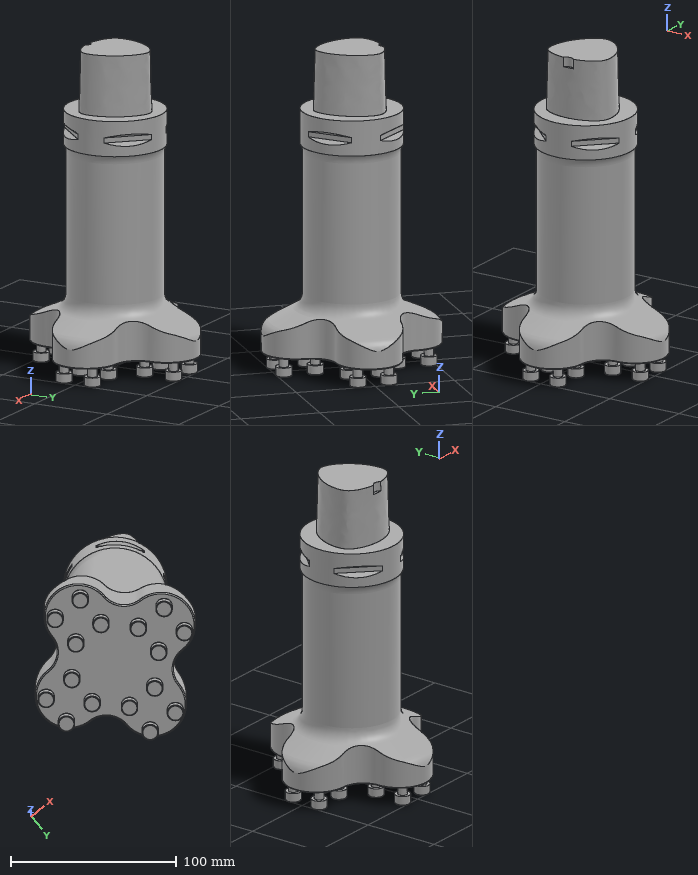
import cadquery as cq
import math

total_height = 200.0
base_z = 12.0
cone_top_z = 37.4
flange_bottom_z = 140.0
flange_top_z = 162.0

column_radius = 30.0
flange_radius = 31.5
blend_radius = 10.0
cone_slope = math.radians(25.0)
cone_outer_radius = 51.0

lobe_count = 4
span = 113.0
lobe_radius = 20.7
lobe_distance = span / 2 - lobe_radius
base_chamfer = 0.8

screw_shank_diameter = 6.0
screw_head_diameter = 10.0
screw_head_height = 6.0
screw_head_chamfer = 0.5
screw_distances = (25.9, 45.9)
screw_offset = 9.8
screw_embed = 1.0

shank_width = 44.3
shank_eccentricity = 1.8
shank_taper = 1 / 20
shank_points = 36

notch_radius = 4.5
notch_height = 6.0
notch_floor_distance = 17.5

slot_count = 4
slot_center_z = 150.0
slot_floor_height = 3.2
slot_depth = 3.7
slot_flank_angle = math.radians(30.0)


def blend_point(center_r, center_z, angle):
    """Point on a blend circle of the turned profile, angle from the outward radius."""
    return (
        center_r + blend_radius * math.cos(angle),
        center_z + blend_radius * math.sin(angle),
    )


def turned_body():
    """Column with flange, foot cone and blends, turned about Z."""
    foot_r = column_radius + blend_radius
    foot_end_angle = 1.5 * math.pi - cone_slope
    foot_z = cone_top_z - blend_radius * math.sin(foot_end_angle)
    foot_end = blend_point(foot_r, foot_z, foot_end_angle)
    foot_mid = blend_point(foot_r, foot_z, (math.pi + foot_end_angle) / 2)

    cone_drop = (cone_outer_radius - foot_end[0]) * math.tan(cone_slope)
    cone_end = (cone_outer_radius, cone_top_z - cone_drop)
    rim_start_angle = math.pi / 2 - cone_slope
    rim_r = cone_end[0] - blend_radius * math.cos(rim_start_angle)
    rim_z = cone_end[1] - blend_radius * math.sin(rim_start_angle)
    rim_mid = blend_point(rim_r, rim_z, rim_start_angle / 2)
    rim_end = blend_point(rim_r, rim_z, 0)

    neck_r = column_radius + blend_radius
    neck_sweep = math.acos((neck_r - flange_radius) / blend_radius)
    neck_z = flange_bottom_z - blend_radius * math.sin(neck_sweep)
    neck_mid = blend_point(neck_r, neck_z, math.pi - neck_sweep / 2)

    profile = (
        cq.Workplane("XZ")
        .moveTo(0, base_z)
        .lineTo(rim_end[0], base_z)
        .lineTo(*rim_end)
        .threePointArc(rim_mid, cone_end)
        .lineTo(*foot_end)
        .threePointArc(foot_mid, (column_radius, foot_z))
        .lineTo(column_radius, neck_z)
        .threePointArc(neck_mid, (flange_radius, flange_bottom_z))
        .lineTo(flange_radius, flange_top_z)
        .lineTo(0, flange_top_z)
        .close()
    )
    return profile.revolve(360, (0, 0, 0), (0, 1, 0))


def rotated(point, angle):
    """Point turned about the origin."""
    x, y = point
    return (
        x * math.cos(angle) - y * math.sin(angle),
        x * math.sin(angle) + y * math.cos(angle),
    )


def clover_prism():
    """Prism of tangent arcs: four lobes and the four valleys between them."""
    valley_radius = lobe_distance - lobe_radius
    valley_mid = lobe_distance - valley_radius / math.sqrt(2)

    outline = cq.Workplane("XY").workplane(offset=base_z).moveTo(lobe_distance, -lobe_radius)
    for i in range(lobe_count):
        angle = 2 * math.pi * i / lobe_count
        lobe_tip = rotated((span / 2, 0), angle)
        lobe_end = rotated((lobe_distance, lobe_radius), angle)
        valley_middle = rotated((valley_mid, valley_mid), angle)
        valley_end = rotated((lobe_radius, lobe_distance), angle)
        outline = outline.threePointArc(lobe_tip, lobe_end).threePointArc(valley_middle, valley_end)
    prism = outline.close().extrude(flange_top_z - base_z)
    return prism.faces("<Z").chamfer(base_chamfer)


def shank_outline(width):
    """Points on a three-lobed curve of constant width with one lobe toward +Y."""
    points = []
    for i in range(shank_points):
        angle = 2 * math.pi * i / shank_points
        lobing = 3 * (angle - math.pi / 2)
        reach = width / 2 + shank_eccentricity * math.cos(lobing)
        slope = -3 * shank_eccentricity * math.sin(lobing)
        points.append(rotated((reach, slope), angle))
    return points


def shank():
    """Tapered shank with its key notch."""
    height = total_height - flange_top_z
    top_width = shank_width - shank_taper * height
    body = (
        cq.Workplane("XY")
        .workplane(offset=flange_top_z)
        .spline(shank_outline(shank_width), periodic=True)
        .wire()
        .workplane(offset=height)
        .spline(shank_outline(top_width), periodic=True)
        .wire()
        .loft(ruled=True)
    )
    notch = (
        cq.Workplane("XY")
        .workplane(offset=total_height - notch_height)
        .center(0, -notch_floor_distance - notch_radius)
        .circle(notch_radius)
        .extrude(notch_height)
    )
    return body.cut(notch)


def gripper_slot():
    """Cutter for one slot, opening toward +X."""
    floor_x = flange_radius - slot_depth
    half_floor = slot_floor_height / 2
    half_mouth = half_floor + slot_depth * math.tan(slot_flank_angle)
    return (
        cq.Workplane("XZ")
        .polyline([
            (floor_x, slot_center_z - half_floor),
            (flange_radius, slot_center_z - half_mouth),
            (flange_radius, slot_center_z + half_mouth),
            (floor_x, slot_center_z + half_floor),
        ])
        .close()
        .extrude(flange_radius, both=True)
    )


def screw(x, y):
    """Cap screw hanging under the base, head down."""
    head = (
        cq.Workplane("XY")
        .center(x, y)
        .circle(screw_head_diameter / 2)
        .extrude(screw_head_height)
        .faces("<Z")
        .chamfer(screw_head_chamfer)
    )
    shank_length = base_z + screw_embed - screw_head_height
    pin = (
        cq.Workplane("XY")
        .workplane(offset=screw_head_height)
        .center(x, y)
        .circle(screw_shank_diameter / 2)
        .extrude(shank_length)
    )
    return head.union(pin)


result = turned_body().intersect(clover_prism()).union(shank())

for i in range(slot_count):
    slot_angle = 360 * (i + 0.5) / slot_count
    result = result.cut(gripper_slot().rotate((0, 0, 0), (0, 0, 1), slot_angle))

for i in range(lobe_count):
    for distance in screw_distances:
        for side in (-1, 1):
            place = rotated((distance, side * screw_offset), 2 * math.pi * i / lobe_count)
            result = result.union(screw(*place))